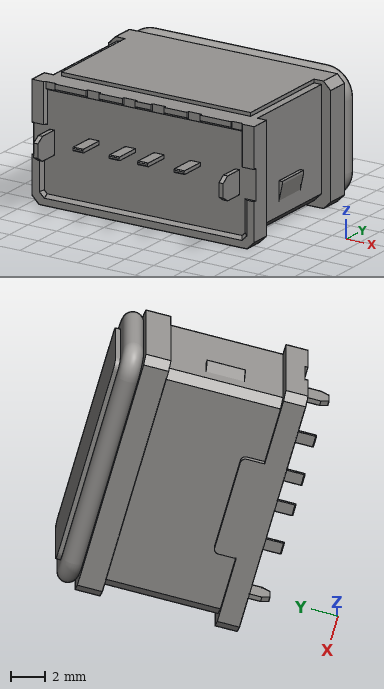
import cadquery as cq
import math


RING_LENGTH = 15.5
RING_HEIGHT = 8.12
RING_WIDTH = 1.24
RING_THICKNESS = 1.2
PLUG_CORNER_RADIUS = 0.6

FRONT_FLANGE_THICKNESS = 1.35
REAR_FLANGE_START = 8.32
REAR_FLANGE_END = 9.85
PLUG_END = 11.36
TERMINAL_LENGTH = 1.6

FLANGE_HALF_WIDTH = 7.7
FLANGE_CHAMFER = 0.5
FLANGE_BOTTOM = -3.97
FRONT_FLANGE_TOP = 3.72
REAR_FLANGE_TOP = 3.95
BODY_HALF_WIDTH = 7.07
BODY_BOTTOM = -3.6
BODY_CHAMFER = 0.53

PANEL_HALF_WIDTH = 6.55
PANEL_START = 1.41

PAD_HALF_WIDTH = 3.1
PAD_END = 2.75
PAD_CORNER_RADIUS = 0.31

LATCH_START = 3.69
LATCH_END = 6.01
LATCH_TOP = -0.87
LATCH_RAMP_TOP = -1.05
LATCH_BOTTOM = -2.14
LATCH_PROJECTION = 0.23

RECESS_DEPTH = 0.19
UPPER_RECESS_HALF_WIDTH = 6.9
UPPER_RECESS_TOP = 3.38
UPPER_WALL_SLOPE = 0.17
LOWER_RECESS_HALF_WIDTH = 7.19
LOWER_RECESS_BOTTOM = -3.5
LOWER_WALL_SLOPE = 0.23
LOWER_RECESS_CHAMFER = 0.34
SIDE_GAP_TOP = 1.05
SIDE_GAP_BOTTOM = -0.95

PIN_NOTCH_WIDTH = 0.9
PIN_NOTCH_DEPTH = 0.17
END_NOTCH_INNER_X = 6.1
END_NOTCH_DEPTH = 0.11

PIN_POSITIONS = (-3.5, -0.99, 0.99, 3.5)
PIN_WIDTH = 0.7
PIN_THICKNESS = 0.23
PIN_CENTER_Z = 0.59
PIN_TIP_CHAMFER = 0.06
BLADE_X = 6.42
BLADE_THICKNESS = 0.3
BLADE_HALF_HEIGHT = 0.78
BLADE_TIP_HALF_HEIGHT = 0.45
BLADE_TIP_LENGTH = 0.5

PLUG_WIDTH = RING_LENGTH - 2 * RING_THICKNESS
PLUG_HEIGHT = RING_HEIGHT - 2 * RING_THICKNESS


def box(x_range, y_range, z_range):
    """Block between two limits on each axis."""
    (x0, x1), (y0, y1), (z0, z1) = x_range, y_range, z_range
    return cq.Workplane("XY").box(x1 - x0, y1 - y0, z1 - z0, centered=False).translate((x0, y0, z0))


def flange(y_start, y_end, top):
    """Plate across the housing, chamfered along its two bottom edges."""
    plate = box((-FLANGE_HALF_WIDTH, FLANGE_HALF_WIDTH), (y_start, y_end), (FLANGE_BOTTOM, top))
    return plate.edges("|Y and <Z").chamfer(FLANGE_CHAMFER)


def sloped_recess(half_width, bottom, top, slope):
    """Rectangular recess in the front face, shrinking by `slope` on each side at its floor."""
    taper = math.degrees(math.atan2(slope, RECESS_DEPTH))
    return (
        cq.Workplane("XZ")
        .center(0, (bottom + top) / 2)
        .rect(2 * half_width, top - bottom)
        .extrude(-RECESS_DEPTH, taper=taper)
    )


def lower_recess():
    """Lower half of the front recess, with chamfered bottom corners and sloped walls."""
    x = LOWER_RECESS_HALF_WIDTH
    corner = LOWER_RECESS_CHAMFER
    outline = [
        (-x, SIDE_GAP_TOP),
        (-x, LOWER_RECESS_BOTTOM + corner),
        (-x + corner, LOWER_RECESS_BOTTOM),
        (x - corner, LOWER_RECESS_BOTTOM),
        (x, LOWER_RECESS_BOTTOM + corner),
        (x, SIDE_GAP_TOP),
    ]
    taper = math.degrees(math.atan2(LOWER_WALL_SLOPE, RECESS_DEPTH))
    return cq.Workplane("XZ").polyline(outline).close().extrude(-RECESS_DEPTH, taper=taper)


def front_recess():
    """Shallow recess in the front flange, open at both sides between its upper and lower walls."""
    upper = sloped_recess(UPPER_RECESS_HALF_WIDTH, SIDE_GAP_BOTTOM, UPPER_RECESS_TOP, UPPER_WALL_SLOPE)
    side_gap = box(
        (-FLANGE_HALF_WIDTH, FLANGE_HALF_WIDTH), (0, RECESS_DEPTH), (SIDE_GAP_BOTTOM, SIDE_GAP_TOP)
    )
    return upper.union(side_gap).union(lower_recess())


def lip_notches():
    """Notches through the top lip: a deep one over each pin and a shallow one at each end."""
    notch_bottom = UPPER_RECESS_TOP - UPPER_WALL_SLOPE
    z_range = (notch_bottom, FRONT_FLANGE_TOP)
    notches = cq.Workplane("XY")
    for x in PIN_POSITIONS:
        x_range = (x - PIN_NOTCH_WIDTH / 2, x + PIN_NOTCH_WIDTH / 2)
        notches = notches.add(box(x_range, (0, PIN_NOTCH_DEPTH), z_range))
    raised_recess = sloped_recess(
        UPPER_RECESS_HALF_WIDTH, SIDE_GAP_BOTTOM, FRONT_FLANGE_TOP + UPPER_WALL_SLOPE, UPPER_WALL_SLOPE
    )
    end_range = (END_NOTCH_INNER_X, UPPER_RECESS_HALF_WIDTH)
    end_notch = box(end_range, (0, END_NOTCH_DEPTH), z_range).intersect(raised_recess)
    notches = notches.add(end_notch).add(end_notch.mirror("YZ"))
    return notches.combine()


def body():
    """Main block between the flanges, with the raised panel on top and the pad underneath."""
    block = box(
        (-BODY_HALF_WIDTH, BODY_HALF_WIDTH), (0, REAR_FLANGE_END), (BODY_BOTTOM, FRONT_FLANGE_TOP)
    )
    block = block.edges("|Y and <Z").chamfer(BODY_CHAMFER)
    panel = box(
        (-PANEL_HALF_WIDTH, PANEL_HALF_WIDTH),
        (PANEL_START, REAR_FLANGE_END),
        (FRONT_FLANGE_TOP, REAR_FLANGE_TOP),
    )
    pad = box((-PAD_HALF_WIDTH, PAD_HALF_WIDTH), (0, PAD_END), (FLANGE_BOTTOM, BODY_BOTTOM))
    pad = pad.edges("|Z and >Y").fillet(PAD_CORNER_RADIUS)
    return block.union(panel).union(pad)


def latch():
    """Catch on the +X side: square at its top, ramping down into the body below."""
    outline = [
        (BODY_HALF_WIDTH, LATCH_TOP),
        (BODY_HALF_WIDTH + LATCH_PROJECTION, LATCH_TOP),
        (BODY_HALF_WIDTH + LATCH_PROJECTION, LATCH_RAMP_TOP),
        (BODY_HALF_WIDTH, LATCH_BOTTOM),
    ]
    catch = cq.Workplane("XZ", origin=(0, LATCH_START, 0)).polyline(outline).close()
    return catch.extrude(LATCH_START - LATCH_END)


def pin(x):
    """Flat contact pin, chamfered at its tip."""
    bar = box(
        (x - PIN_WIDTH / 2, x + PIN_WIDTH / 2),
        (-TERMINAL_LENGTH, RECESS_DEPTH),
        (PIN_CENTER_Z - PIN_THICKNESS / 2, PIN_CENTER_Z + PIN_THICKNESS / 2),
    )
    return bar.faces("<Y").edges("|X").chamfer(PIN_TIP_CHAMFER)


def blade(x):
    """Upright mounting blade that narrows at its tip."""
    shoulder = -TERMINAL_LENGTH + BLADE_TIP_LENGTH
    outline = [
        (RECESS_DEPTH, -BLADE_HALF_HEIGHT),
        (shoulder, -BLADE_HALF_HEIGHT),
        (-TERMINAL_LENGTH, -BLADE_TIP_HALF_HEIGHT),
        (-TERMINAL_LENGTH, BLADE_TIP_HALF_HEIGHT),
        (shoulder, BLADE_HALF_HEIGHT),
        (RECESS_DEPTH, BLADE_HALF_HEIGHT),
    ]
    plane = cq.Workplane("YZ", origin=(x - BLADE_THICKNESS / 2, 0, 0))
    return plane.polyline(outline).close().extrude(BLADE_THICKNESS)


def plug():
    """Rounded plug behind the rear flange."""
    block = box(
        (-PLUG_WIDTH / 2, PLUG_WIDTH / 2),
        (REAR_FLANGE_END, PLUG_END),
        (-PLUG_HEIGHT / 2, PLUG_HEIGHT / 2),
    )
    return block.edges("|Y").fillet(PLUG_CORNER_RADIUS)


def make_housing():
    rear_flange = flange(REAR_FLANGE_START, REAR_FLANGE_END, REAR_FLANGE_TOP)
    rear_flange = rear_flange.edges("|Y and >Z").chamfer(FLANGE_CHAMFER)
    shell = flange(0, FRONT_FLANGE_THICKNESS, FRONT_FLANGE_TOP).union(body())
    shell = shell.union(rear_flange).union(plug())
    shell = shell.union(latch()).union(latch().mirror("YZ"))
    shell = shell.cut(front_recess()).cut(lip_notches())
    for x in PIN_POSITIONS:
        shell = shell.union(pin(x))
    for x in (-BLADE_X, BLADE_X):
        shell = shell.union(blade(x))
    return shell.solids()


def make_sealing_ring():
    """Half-round section swept along the rounded rectangle of the plug outline."""
    x = PLUG_WIDTH / 2
    z = PLUG_HEIGHT / 2
    corner = PLUG_CORNER_RADIUS
    path = (
        cq.Workplane("XZ")
        .moveTo(-x + corner, z)
        .lineTo(x - corner, z)
        .tangentArcPoint((x, z - corner), relative=False)
        .lineTo(x, -z + corner)
        .tangentArcPoint((x - corner, -z), relative=False)
        .lineTo(-x + corner, -z)
        .tangentArcPoint((-x, -z + corner), relative=False)
        .lineTo(-x, z - corner)
        .tangentArcPoint((-x + corner, z), relative=False)
        .close()
    )
    radius = RING_WIDTH / 2
    flat = RING_THICKNESS - radius
    section = (
        cq.Workplane("YZ", origin=(-x + corner, REAR_FLANGE_END, z))
        .lineTo(0, flat)
        .tangentArcPoint((radius, RING_THICKNESS), relative=False)
        .tangentArcPoint((RING_WIDTH, flat), relative=False)
        .lineTo(RING_WIDTH, 0)
        .close()
    )
    return section.sweep(path)


housing = make_housing()
sealing_ring = make_sealing_ring()

result = cq.Compound.makeCompound([housing.val(), sealing_ring.val()])